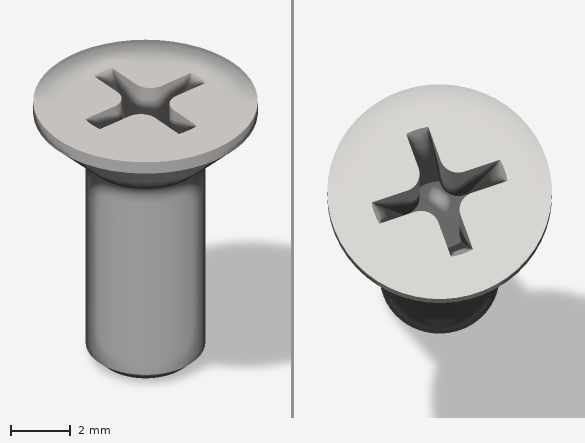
import cadquery as cq

length = 10.0
head_diameter = 7.5
shank_diameter = 4.0
rim_height = 0.45
tip_chamfer = 0.4

recess_span = 4.6
recess_floor_diameter = 2.35
recess_depth = 2.65
slot_width = 0.78
corner_radius = 0.62

head_radius = head_diameter / 2
shank_radius = shank_diameter / 2
head_height = rim_height + head_radius - shank_radius


def make_body():
    """Revolve the half profile of the head and shank about Z."""
    return (
        cq.Workplane("XZ")
        .polyline([
            (0, 0),
            (head_radius, 0),
            (head_radius, -rim_height),
            (shank_radius, -head_height),
            (shank_radius, tip_chamfer - length),
            (shank_radius - tip_chamfer, -length),
            (0, -length),
        ])
        .close()
        .revolve(360, (0, 0, 0), (0, 1, 0))
    )


def make_recess():
    """Cross with rounded inner corners, its arm ends tapered by a cone."""
    bottom = cq.Workplane("XY").workplane(offset=-recess_depth)
    along_x = bottom.rect(head_diameter, slot_width).extrude(recess_depth)
    along_y = bottom.rect(slot_width, head_diameter).extrude(recess_depth)
    inner_corners = cq.selectors.BoxSelector(
        (-slot_width, -slot_width, -recess_depth),
        (slot_width, slot_width, 0),
    )
    cross = along_x.union(along_y).edges("|Z").edges(inner_corners).fillet(corner_radius)
    taper = (
        bottom.circle(recess_floor_diameter / 2)
        .workplane(offset=recess_depth)
        .circle(recess_span / 2)
        .loft()
    )
    return cross.intersect(taper)


result = make_body().cut(make_recess())